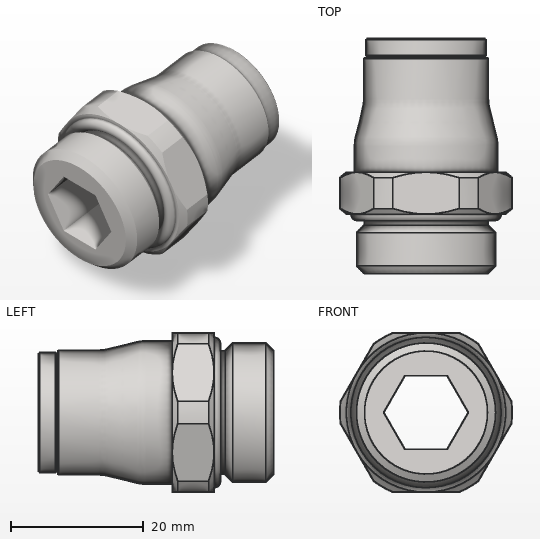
import cadquery as cq
import math

LENGTH = 35.5

THREAD_RADIUS = 10.47
THREAD_CHAMFER = 1.2
THREAD_END = 6.2
NECK_RADIUS = 9.35
NECK_START = 7.35

RING_SECTION_RADIUS = 1.0

HEX_START = 9.0
HEX_END = 15.3
HEX_FLATS = 24.0
HEX_CORNER_RADIUS = 13.0
HEX_BEVEL = 0.8

SHOULDER_RADIUS = 10.8
SHOULDER_END = 19.3
BLEND_LENGTH = 1.25
BARREL_START = 26.27
BARREL_RADIUS = 9.4
BARREL_END = 32.52
BARREL_EDGE = 0.15

GROOVE_RADIUS = 8.6
COLLAR_START = 32.75
COLLAR_RADIUS = 9.05
COLLAR_EDGE = 0.3
COLLAR_INNER_EDGE = 0.15

BORE_FLATS = 11.0


def hex_prism(flats, start, end):
    """Prism along Y with corners on the X axis."""
    corner_diameter = flats / math.cos(math.radians(30))
    return (
        cq.Workplane("XZ", origin=(0, start, 0))
        .polygon(6, corner_diameter)
        .extrude(start - end)
    )


def revolve_profile(profile):
    return profile.close().revolve(360, (0, 0, 0), (0, 1, 0))


def turned_body():
    taper_length = BARREL_START - SHOULDER_END
    radius_drop = SHOULDER_RADIUS - BARREL_RADIUS
    taper_angle = math.atan(radius_drop / (taper_length - BLEND_LENGTH))
    blend_drop = BLEND_LENGTH * math.tan(taper_angle / 2)
    shoulder_blend_end = (SHOULDER_RADIUS - blend_drop, SHOULDER_END + BLEND_LENGTH)
    barrel_blend_start = (BARREL_RADIUS + blend_drop, BARREL_START - BLEND_LENGTH)
    profile = (
        cq.Workplane("XY")
        .lineTo(THREAD_RADIUS - THREAD_CHAMFER, 0)
        .lineTo(THREAD_RADIUS, THREAD_CHAMFER)
        .lineTo(THREAD_RADIUS, THREAD_END)
        .lineTo(NECK_RADIUS, NECK_START)
        .lineTo(NECK_RADIUS, HEX_START)
        .lineTo(SHOULDER_RADIUS, HEX_START)
        .lineTo(SHOULDER_RADIUS, SHOULDER_END)
        .tangentArcPoint(shoulder_blend_end, relative=False)
        .lineTo(*barrel_blend_start)
        .tangentArcPoint((BARREL_RADIUS, BARREL_START), relative=False)
        .lineTo(BARREL_RADIUS, BARREL_END - BARREL_EDGE)
        .lineTo(BARREL_RADIUS - BARREL_EDGE, BARREL_END)
        .lineTo(GROOVE_RADIUS, BARREL_END)
        .lineTo(GROOVE_RADIUS, COLLAR_START)
        .lineTo(COLLAR_RADIUS - COLLAR_INNER_EDGE, COLLAR_START)
        .lineTo(COLLAR_RADIUS, COLLAR_START + COLLAR_INNER_EDGE)
        .lineTo(COLLAR_RADIUS, LENGTH - COLLAR_EDGE)
        .lineTo(COLLAR_RADIUS - COLLAR_EDGE, LENGTH)
        .lineTo(0, LENGTH)
    )
    return revolve_profile(profile)


def seal_ring():
    ring_center_radius = NECK_RADIUS + RING_SECTION_RADIUS
    section = cq.Workplane("XY").center(ring_center_radius, HEX_START).circle(RING_SECTION_RADIUS)
    return section.revolve(360, (-ring_center_radius, 0, 0), (-ring_center_radius, 1, 0))


def wrench_hexagon():
    """Hexagon with turned corners and conical bevels on both faces."""
    face_radius = HEX_FLATS / 2
    envelope = revolve_profile(
        cq.Workplane("XY")
        .moveTo(0, HEX_START)
        .lineTo(face_radius, HEX_START)
        .lineTo(HEX_CORNER_RADIUS, HEX_START + HEX_BEVEL)
        .lineTo(HEX_CORNER_RADIUS, HEX_END - HEX_BEVEL)
        .lineTo(face_radius, HEX_END)
        .lineTo(0, HEX_END)
    )
    return hex_prism(HEX_FLATS, HEX_START, HEX_END).intersect(envelope)


solid_body = turned_body().union(wrench_hexagon()).union(seal_ring())
result = solid_body.cut(hex_prism(BORE_FLATS, 0, LENGTH))